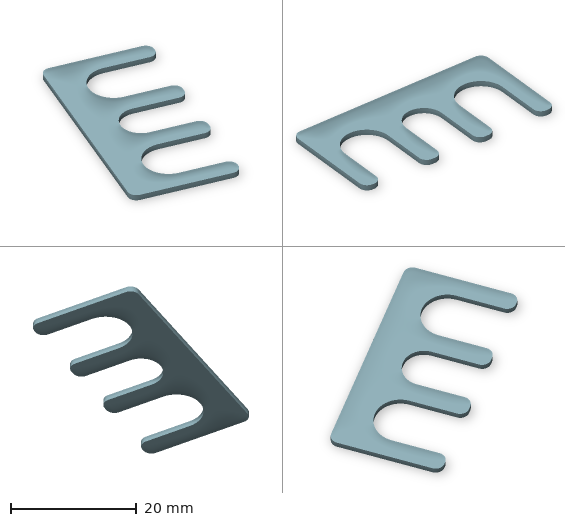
import cadquery as cq

length = 38.1
width = 19.05
thickness = 1.0
corner_radius = 1.5

outer_slot_width = 8.6
middle_slot_width = 7.1
outer_slot_offset = 11.43
slot_arc_y = 0.0


def slot_cutter(center_x, slot_width):
    """Slot running from its round end out through the +Y edge."""
    radius = slot_width / 2
    open_y = width / 2
    return (
        cq.Workplane("XY")
        .moveTo(center_x - radius, open_y)
        .lineTo(center_x - radius, slot_arc_y)
        .threePointArc((center_x, slot_arc_y - radius), (center_x + radius, slot_arc_y))
        .lineTo(center_x + radius, open_y)
        .close()
        .extrude(thickness)
    )


slots = [
    (-outer_slot_offset, outer_slot_width),
    (0.0, middle_slot_width),
    (outer_slot_offset, outer_slot_width),
]

plate = cq.Workplane("XY").box(length, width, thickness, centered=(True, True, False))
for center_x, slot_width in slots:
    plate = plate.cut(slot_cutter(center_x, slot_width))

plate = plate.faces(">Y").edges("|Z").fillet(corner_radius)
result = plate.faces("<Y").edges("|Z").fillet(corner_radius)